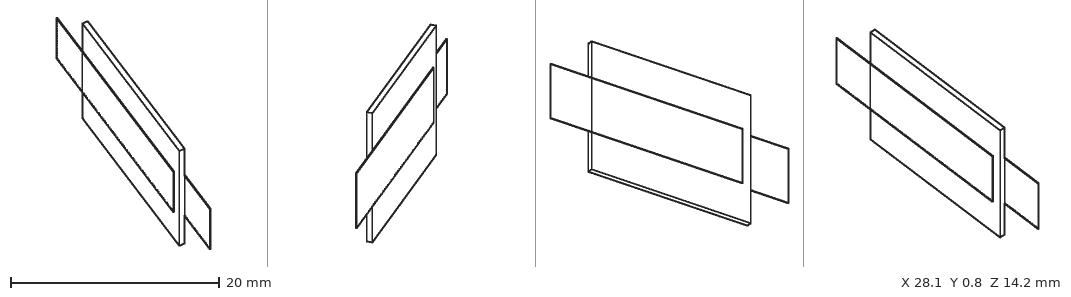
import cadquery as cq

total_length = 28.1
total_thickness = 0.8

plate_length = 18.52
plate_height = 14.2

strip_length = 22.3
strip_height = 6.0
strip_thickness = 0.098

plate_thickness = total_thickness - 2 * strip_thickness
strip_shift = (total_length - strip_length) / 2
strip_offset = (plate_thickness + strip_thickness) / 2


def make_strip(side):
    """Strip on the -Y face reaching toward -X (side = -1), or +Y toward +X (side = 1)."""
    strip = cq.Workplane("XY").box(strip_length, strip_thickness, strip_height)
    return strip.translate((side * strip_shift, side * strip_offset, 0))


result = cq.Workplane("XY").box(plate_length, plate_thickness, plate_height)
for side in (-1, 1):
    result = result.union(make_strip(side))